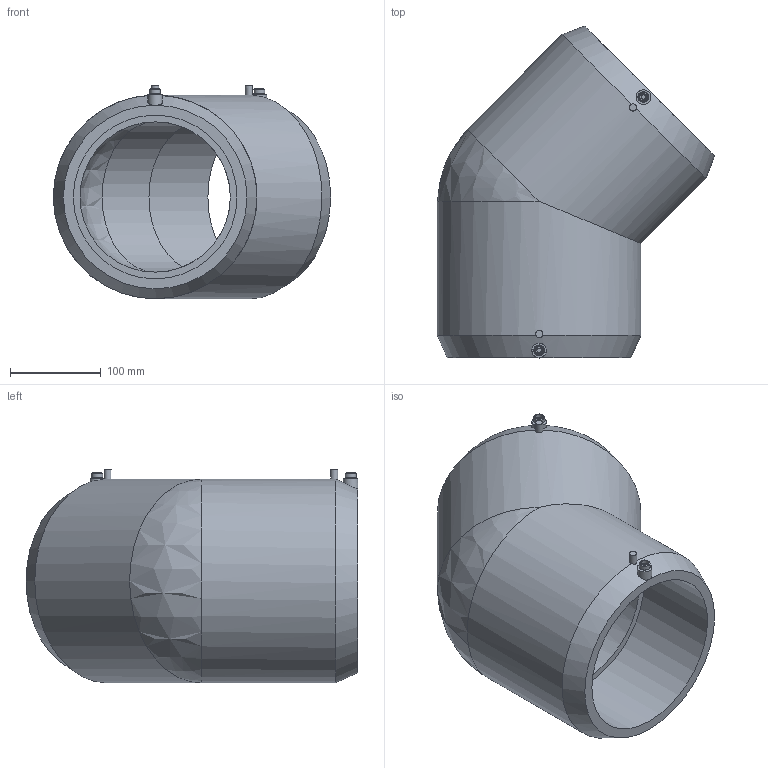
import cadquery as cq

BEND_ANGLE = 45.0
OUTER_DIAMETER = 224.0
BORE_DIAMETER = 165.33
SOCKET_DIAMETER = 180.0
LEG_LENGTH = 172.0
SOCKET_DEPTH = 99.0
END_TAPER_LENGTH = 24.5
END_TAPER_DEPTH = 11.0

COLLAR_DIAMETER = 16.0
COLLAR_TOP = 112.75
HEAD_DIAMETER = 12.0
HEAD_HEIGHT = 6.75
HEAD_CHAMFER = 1.0
RECESS_DIAMETER = 8.0
RECESS_DEPTH = 5.0
CONTACT_DIAMETER = 5.0
CONTACT_HEIGHT = 2.0
SECOND_TERMINAL_SETBACK = 1.8

PIN_DIAMETER = 8.0
PIN_PROTRUSION = 11.0
PIN_DISTANCE_FROM_END = 26.0

outer_radius = OUTER_DIAMETER / 2
bore_radius = BORE_DIAMETER / 2
socket_radius = SOCKET_DIAMETER / 2
end_radius = outer_radius - END_TAPER_DEPTH

second_leg_rotation = 180.0 - BEND_ANGLE

first_terminal_offset = LEG_LENGTH - COLLAR_DIAMETER / 2
second_terminal_offset = first_terminal_offset - SECOND_TERMINAL_SETBACK
pin_offset = LEG_LENGTH - PIN_DISTANCE_FROM_END

fitting_root = (socket_radius + end_radius) / 2


def turned(half_profile):
    """Revolve a (radius, distance along -Y) outline around the Y axis."""
    points = [(radius, -distance) for radius, distance in half_profile]
    return cq.Workplane("XY").polyline(points).close().revolve(360, (0, 0, 0), (0, 1, 0))


def leg_outside():
    return turned([
        (0, 0),
        (outer_radius, 0),
        (outer_radius, LEG_LENGTH - END_TAPER_LENGTH),
        (end_radius, LEG_LENGTH),
        (0, LEG_LENGTH),
    ])


def leg_inside():
    socket_start = LEG_LENGTH - SOCKET_DEPTH
    return turned([
        (0, 0),
        (bore_radius, 0),
        (bore_radius, socket_start),
        (socket_radius, socket_start),
        (socket_radius, LEG_LENGTH),
        (0, LEG_LENGTH),
    ])


def upright_cylinder(diameter, offset, bottom, top):
    """Vertical cylinder above the leg axis, offset from the elbow centre."""
    return (
        cq.Workplane("XY", origin=(0, -offset, bottom))
        .circle(diameter / 2)
        .extrude(top - bottom)
    )


def terminal(offset):
    head_top = COLLAR_TOP + HEAD_HEIGHT
    recess_floor = head_top - RECESS_DEPTH
    contact_top = recess_floor + CONTACT_HEIGHT
    collar = upright_cylinder(COLLAR_DIAMETER, offset, fitting_root, COLLAR_TOP)
    head = upright_cylinder(HEAD_DIAMETER, offset, COLLAR_TOP, head_top)
    head = head.edges("%CIRCLE").chamfer(HEAD_CHAMFER)
    recess = upright_cylinder(RECESS_DIAMETER, offset, recess_floor, head_top)
    contact = upright_cylinder(CONTACT_DIAMETER, offset, recess_floor, contact_top)
    return collar.union(head).cut(recess).union(contact)


def indicator_pin():
    return upright_cylinder(PIN_DIAMETER, pin_offset, fitting_root, outer_radius + PIN_PROTRUSION)


def leg_fittings(terminal_offset):
    return terminal(terminal_offset).union(indicator_pin())


def on_second_leg(shape):
    return shape.rotate((0, 0, 0), (0, 0, 1), second_leg_rotation)


def elbow(leg, knuckle_radius):
    """Both legs with the sphere that closes the outside of the bend."""
    knuckle = cq.Workplane("XY").sphere(knuckle_radius)
    return leg.union(on_second_leg(leg)).union(knuckle)


body = elbow(leg_outside(), outer_radius).cut(elbow(leg_inside(), bore_radius))

result = (
    body
    .union(leg_fittings(first_terminal_offset))
    .union(on_second_leg(leg_fittings(second_terminal_offset)))
)